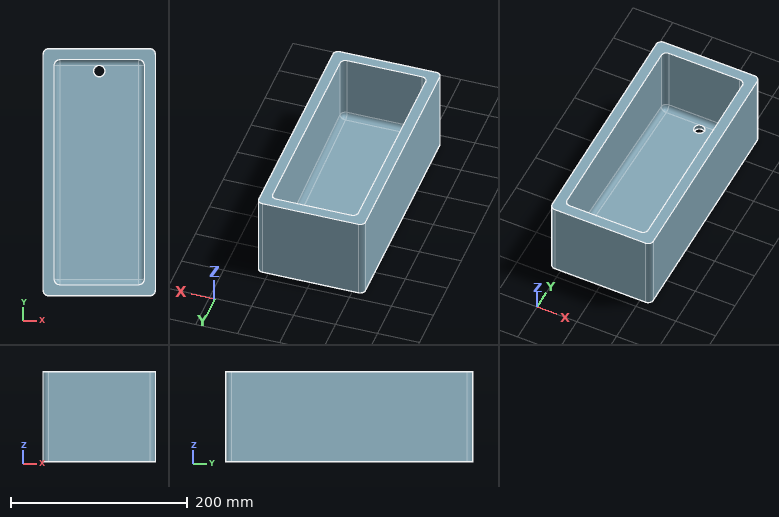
import cadquery as cq

length = 279.5
width = 127.0
height = 101.7
corner_radius = 6.5

wall = 12.5
floor_at_drain_end = 6.5
floor_at_far_end = 19.0
cavity_radius = corner_radius

drain_diameter = 12.5
drain_from_end = 25.5


def outer_block():
    block = cq.Workplane("XY").box(width, length, height, centered=(True, True, False))
    return block.edges("|Z").fillet(corner_radius)


def cavity():
    """Pocket with rounded corners and floor edges; its floor falls toward the +Y end."""
    half_length = length / 2 - wall
    side_profile = [
        (-half_length, floor_at_far_end),
        (half_length, floor_at_drain_end),
        (half_length, height),
        (-half_length, height),
    ]
    pocket = (
        cq.Workplane("YZ")
        .polyline(side_profile)
        .close()
        .extrude(width / 2 - wall, both=True)
    )
    pocket = pocket.edges("|Z").fillet(cavity_radius)
    return pocket.faces("<Z").edges().fillet(cavity_radius)


def drain_hole():
    return (
        cq.Workplane("XY")
        .center(0, length / 2 - drain_from_end)
        .circle(drain_diameter / 2)
        .extrude(height)
    )


result = outer_block().cut(cavity()).cut(drain_hole())